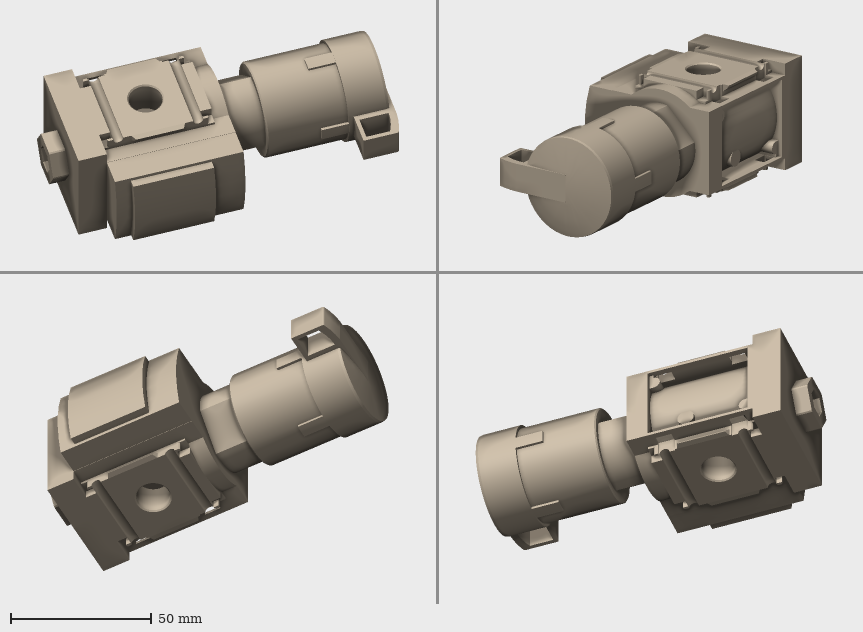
import cadquery as cq
import math


BLOCK_FRONT_Y = 6.0
FRAME_FRONT_Y = 16.6
COLLAR_FRONT_Y = 58.5
FRAME_REAR_Y = 64.5
KNOB_FRONT_Y = 77.6
CAP_FRONT_Y = 107.7
OVERALL_LENGTH = 124.6
PORT_Y = 37.5

BODY_HALF_WIDTH = 20.9
BODY_HEIGHT = 40.2
BODY_HALF_HEIGHT = BODY_HEIGHT / 2
FRAME_HALF_HEIGHT = 15.7

HEX_ACROSS_CORNERS = 19.5
HEX_CORNER_TRIM_DIAMETER = 19.2
SOCKET_ACROSS_CORNERS = 10.5
SOCKET_DEPTH = 7.5

WINDOW_FRONT_Y = 18.5
WINDOW_REAR_Y = 56.5
WINDOW_HALF_HEIGHT = 14.6
BOWL_RADIUS = 18.7
PIN_RADIUS = 3.1
PIN_Y = 43.2
PIN_Z = -8.5
PIN_FACE_X = -17.8
LUG_RADIUS = 2.4
LUG_FACE_X = -19.3
LUG_Y_INSET = 1.6
LUG_Z = 11.0

PLATE_HALF_WIDTH = 15.2
PORT_RADIUS = 6.1
PORT_MOUTH_RADIUS = 6.6
PORT_DEPTH = 12.5
GROOVE_RADIUS = 1.9
GROOVE_OFFSET = 15.0
PLATE_HALF_LENGTH = GROOVE_OFFSET + GROOVE_RADIUS
BRIDGE_HALF_WIDTH = 11.5
POCKET_FLOOR_Z = 16.7
POST_WIDTH = 1.0
POST_LENGTH = 2.0
POST_CHAMFER = 0.4
EAR_WIDTH = 2.0
EAR_HALF_LENGTH = 10.0
EAR_TIP_DROP = 0.4
EAR_KINK_INSET = 0.6
EAR_KINK_DROP = 1.5
EAR_DEPTH = 2.7
SLOT_OUTER_X = -18.7
SLOT_INNER_X = -14.7
SLOT_LENGTH = 6.4
SLOT_OFFSET = 14.0

COVER_EDGE_X = 30.5
COVER_HALF_HEIGHT = 15.6
GAUGE_EDGE_X = 33.8
GAUGE_HALF_HEIGHT = 14.6
GAUGE_HALF_LENGTH = 15.1
CROWN_RISE = 2.2

NECK_RADIUS = 15.0
NECK_FLAT_DISTANCE = 12.5
KNOB_RADIUS = 17.6
KNOB_EDGE_CHAMFER = 0.5
CAP_RADIUS = 18.7
CAP_BEVEL_WIDTH = 0.19
CAP_BEVEL_LENGTH = 1.0
DOME_RADIUS = CAP_RADIUS - CAP_BEVEL_WIDTH
DOME_RISE = 1.7
TAB_RADIUS = 18.6
TAB_LENGTH = 10.2
TAB_WIDTH = 5.0

LOOP_HALF_WIDTH = 5.2
LOOP_OUTER_X = 29.8
LOOP_INNER_X = 19.9
LOOP_FRONT_Y = 109.5
LOOP_BEND_X = 21.2
LOOP_OUTER_DROP = 2.0
LOOP_WALL = 1.5
LOOP_BEND_MID_DROP = 0.6
LOOP_ARM_THICKNESS = 2.7
LOOP_CORNER_RADIUS = 0.7


def box(x0, x1, y0, y1, z0, z1):
    return cq.Workplane("XY").box(x1 - x0, y1 - y0, z1 - z0, centered=False).translate((x0, y0, z0))


def rod(radius, y0, y1):
    """Cylinder on the regulating axis between two Y stations."""
    return cq.Workplane("XZ", origin=(0, y0, 0)).circle(radius).extrude(y0 - y1)


def hexagon(across_corners, y0, y1):
    """Hexagonal prism on the regulating axis with its corners pointing along X."""
    return cq.Workplane("XZ", origin=(0, y0, 0)).polygon(6, across_corners).extrude(y0 - y1)


def both_faces(top_feature):
    """A feature of the top face together with its mirror image on the bottom face."""
    return top_feature.union(top_feature.mirror("XY"))


def make_body():
    block = box(
        -BODY_HALF_WIDTH, BODY_HALF_WIDTH, BLOCK_FRONT_Y, FRAME_FRONT_Y, -BODY_HALF_HEIGHT, BODY_HALF_HEIGHT
    )
    frame = box(
        -BODY_HALF_WIDTH, BODY_HALF_WIDTH, FRAME_FRONT_Y, FRAME_REAR_Y, -FRAME_HALF_HEIGHT, FRAME_HALF_HEIGHT
    )
    collar = rod(BODY_HALF_HEIGHT, COLLAR_FRONT_Y, FRAME_REAR_Y)
    return block.union(frame).union(collar)


def make_drain_hexagon():
    stud = hexagon(HEX_ACROSS_CORNERS, 0, BLOCK_FRONT_Y)
    return stud.intersect(rod(HEX_CORNER_TRIM_DIAMETER / 2, 0, BLOCK_FRONT_Y))


def make_window_lug(y, z, y_corner, z_corner):
    """Round lug filled out towards one corner of the window."""
    lug = cq.Workplane("YZ", origin=(LUG_FACE_X, y, z)).circle(LUG_RADIUS).extrude(-LUG_FACE_X)
    to_wall = y_corner - y
    to_floor = z_corner - z
    wall_web = cq.Workplane("YZ", origin=(LUG_FACE_X, y + to_wall / 2, z))
    wall_web = wall_web.rect(abs(to_wall), 2 * LUG_RADIUS).extrude(-LUG_FACE_X)
    floor_web = cq.Workplane("YZ", origin=(LUG_FACE_X, y + to_wall / 2, z + to_floor / 2))
    floor_web = floor_web.rect(abs(to_wall), abs(to_floor)).extrude(-LUG_FACE_X)
    return lug.union(wall_web).union(floor_web)


def make_window_cavity():
    """Space between the -X face of the frame and the bowl, leaving the pin and lugs standing."""
    cavity = box(
        -BODY_HALF_WIDTH, 0, WINDOW_FRONT_Y, WINDOW_REAR_Y, -WINDOW_HALF_HEIGHT, WINDOW_HALF_HEIGHT
    )
    cavity = cavity.cut(rod(BOWL_RADIUS, WINDOW_FRONT_Y, WINDOW_REAR_Y))
    pin = cq.Workplane("YZ", origin=(PIN_FACE_X, PIN_Y, PIN_Z)).circle(PIN_RADIUS).extrude(-PIN_FACE_X)
    rear_lug = make_window_lug(WINDOW_REAR_Y - LUG_Y_INSET, LUG_Z, WINDOW_REAR_Y, WINDOW_HALF_HEIGHT)
    front_lug = make_window_lug(WINDOW_FRONT_Y + LUG_Y_INSET, -LUG_Z, WINDOW_FRONT_Y, -WINDOW_HALF_HEIGHT)
    return cavity.cut(pin).cut(rear_lug).cut(front_lug)


def make_ear():
    """Undercut ledge on the -X edge of the top port plate, narrowing towards its tip."""
    root_x = -PLATE_HALF_WIDTH
    tip_x = root_x - EAR_WIDTH
    profile = [
        (root_x, BODY_HALF_HEIGHT),
        (tip_x, BODY_HALF_HEIGHT - EAR_TIP_DROP),
        (tip_x + EAR_KINK_INSET, BODY_HALF_HEIGHT - EAR_KINK_DROP),
        (root_x, BODY_HALF_HEIGHT - EAR_DEPTH),
    ]
    half_root = EAR_HALF_LENGTH
    half_tip = half_root - EAR_WIDTH / 2
    ledge = cq.Workplane("XZ", origin=(0, PORT_Y - half_root, 0)).polyline(profile).close()
    ledge = ledge.extrude(-2 * half_root)
    outline = cq.Workplane("XY", origin=(0, PORT_Y, 0)).polyline(
        [(root_x, -half_root), (tip_x, -half_tip), (tip_x, half_tip), (root_x, half_root)]
    )
    return ledge.intersect(outline.close().extrude(BODY_HALF_HEIGHT))


def make_port_plate():
    """Top port plate with its grooves, bridges to the body, corner posts and ears."""
    plate_front_y = PORT_Y - PLATE_HALF_LENGTH
    plate_rear_y = PORT_Y + PLATE_HALF_LENGTH
    base_z = FRAME_HALF_HEIGHT
    top_z = BODY_HALF_HEIGHT
    plate = box(-PLATE_HALF_WIDTH, PLATE_HALF_WIDTH, FRAME_FRONT_Y, COLLAR_FRONT_Y, base_z, POCKET_FLOOR_Z)
    plate = plate.union(
        box(-PLATE_HALF_WIDTH, PLATE_HALF_WIDTH, plate_front_y, plate_rear_y, base_z, top_z)
    )
    plate = plate.union(
        box(-BRIDGE_HALF_WIDTH, BRIDGE_HALF_WIDTH, FRAME_FRONT_Y, COLLAR_FRONT_Y, base_z, top_z)
    )
    for side in (-1, 1):
        groove_start = (-PLATE_HALF_WIDTH, PORT_Y + side * GROOVE_OFFSET, top_z)
        groove = cq.Workplane("YZ", origin=groove_start).circle(GROOVE_RADIUS)
        plate = plate.cut(groove.extrude(2 * PLATE_HALF_WIDTH))

    post_x = PLATE_HALF_WIDTH - POST_WIDTH
    rear_post = box(post_x, PLATE_HALF_WIDTH, plate_rear_y, plate_rear_y + POST_LENGTH, base_z, top_z)
    front_post = box(post_x, PLATE_HALF_WIDTH, plate_front_y - POST_LENGTH, plate_front_y, base_z, top_z)
    rear_post = rear_post.edges("|Z").edges(">X and >Y").chamfer(POST_CHAMFER)
    front_post = front_post.edges("|Z").edges(">X and <Y").chamfer(POST_CHAMFER)
    right_edge = rear_post.union(front_post)
    left_edge = right_edge.mirror("YZ")
    ear = make_ear()
    return plate.union(left_edge).union(right_edge).union(ear).union(ear.mirror("YZ"))


def make_port():
    """Blind port with a countersunk mouth in the top face."""
    top = cq.Workplane("XY", origin=(0, PORT_Y, BODY_HALF_HEIGHT))
    bore = top.circle(PORT_RADIUS).extrude(-PORT_DEPTH)
    mouth_depth = PORT_MOUTH_RADIUS - PORT_RADIUS
    mouth = top.circle(PORT_MOUTH_RADIUS).workplane(offset=-mouth_depth).circle(PORT_RADIUS).loft()
    return bore.union(mouth)


def make_slots():
    """Two slots beside the port that pass through the frame wall into the window cavity."""
    slots = cq.Workplane("XY")
    for side in (-1, 1):
        y0 = PORT_Y + side * SLOT_OFFSET - SLOT_LENGTH / 2
        slot = box(
            SLOT_OUTER_X, SLOT_INNER_X, y0, y0 + SLOT_LENGTH, WINDOW_HALF_HEIGHT, BODY_HALF_HEIGHT
        )
        slots = slots.union(slot)
    return slots


def make_crowned_plate(edge_x, half_height, y0, y1):
    """Plate standing on the +X face of the body with an outward-curving front."""
    return (
        cq.Workplane("XZ", origin=(0, y0, 0))
        .moveTo(BODY_HALF_WIDTH, -half_height)
        .lineTo(edge_x, -half_height)
        .threePointArc((edge_x + CROWN_RISE, 0), (edge_x, half_height))
        .lineTo(BODY_HALF_WIDTH, half_height)
        .close()
        .extrude(y0 - y1)
    )


def make_neck():
    """Round neck with a pair of wrench flats turned 45 degrees about Y."""
    flats = box(
        -NECK_RADIUS, NECK_RADIUS, FRAME_REAR_Y, KNOB_FRONT_Y, -NECK_FLAT_DISTANCE, NECK_FLAT_DISTANCE
    )
    flats = flats.rotate((0, 0, 0), (0, 1, 0), -45)
    return rod(NECK_RADIUS, FRAME_REAR_Y, KNOB_FRONT_Y).intersect(flats)


def make_knob():
    knob = rod(KNOB_RADIUS, KNOB_FRONT_Y, CAP_FRONT_Y).faces("<Y").chamfer(KNOB_EDGE_CHAMFER)

    dome_edge_y = OVERALL_LENGTH - DOME_RISE
    dome_curvature = (DOME_RADIUS**2 + DOME_RISE**2) / (2 * DOME_RISE)
    dome_mid_x = DOME_RADIUS / 2
    dome_mid_y = OVERALL_LENGTH - dome_curvature + math.sqrt(dome_curvature**2 - dome_mid_x**2)
    cap = (
        cq.Workplane("XY")
        .moveTo(0, CAP_FRONT_Y)
        .lineTo(CAP_RADIUS, CAP_FRONT_Y)
        .lineTo(CAP_RADIUS, dome_edge_y - CAP_BEVEL_LENGTH)
        .lineTo(DOME_RADIUS, dome_edge_y)
        .threePointArc((dome_mid_x, dome_mid_y), (0, OVERALL_LENGTH))
        .close()
        .revolve(360, (0, 0, 0), (0, 1, 0))
    )

    tab_front_y = CAP_FRONT_Y - TAB_LENGTH
    half_tab = TAB_WIDTH / 2
    bar = box(-TAB_RADIUS, TAB_RADIUS, tab_front_y, CAP_FRONT_Y, -half_tab, half_tab)
    tabs = bar.union(bar.rotate((0, 0, 0), (0, 1, 0), 90))
    tabs = tabs.intersect(rod(TAB_RADIUS, tab_front_y, CAP_FRONT_Y))
    return knob.union(cap).union(tabs)


def make_loop():
    """Hanging loop: an arm leaving the crest of the dome and returning to the side of the cap."""
    start = cq.Workplane("XY", origin=(0, 0, -LOOP_HALF_WIDTH))
    width = 2 * LOOP_HALF_WIDTH

    def bent_outline(outer_x, front_y, crest_y, inner_x):
        """Rectangle whose top edge bends down beyond the end of the straight arm."""
        mid_x = (LOOP_BEND_X + outer_x) / 2
        return (
            start.moveTo(inner_x, front_y)
            .lineTo(outer_x, front_y)
            .lineTo(outer_x, crest_y - LOOP_OUTER_DROP)
            .threePointArc((mid_x, crest_y - LOOP_BEND_MID_DROP), (LOOP_BEND_X, crest_y))
            .lineTo(inner_x, crest_y)
            .close()
            .extrude(width)
        )

    solid = bent_outline(LOOP_OUTER_X, LOOP_FRONT_Y, OVERALL_LENGTH, 0)
    solid = solid.faces(">X").edges(">Y").fillet(LOOP_CORNER_RADIUS)
    opening = bent_outline(
        LOOP_OUTER_X - LOOP_WALL, LOOP_FRONT_Y + LOOP_WALL, OVERALL_LENGTH - LOOP_ARM_THICKNESS, LOOP_INNER_X
    )
    return solid.cut(opening)


result = (
    make_body()
    .union(both_faces(make_port_plate()))
    .cut(make_window_cavity())
    .cut(both_faces(make_port()))
    .cut(both_faces(make_slots()))
    .union(make_drain_hexagon())
    .cut(hexagon(SOCKET_ACROSS_CORNERS, 0, SOCKET_DEPTH))
    .union(make_crowned_plate(COVER_EDGE_X, COVER_HALF_HEIGHT, FRAME_FRONT_Y, FRAME_REAR_Y))
    .union(
        make_crowned_plate(
            GAUGE_EDGE_X, GAUGE_HALF_HEIGHT, PORT_Y - GAUGE_HALF_LENGTH, PORT_Y + GAUGE_HALF_LENGTH
        )
    )
    .union(make_neck())
    .union(make_knob())
    .union(make_loop())
)